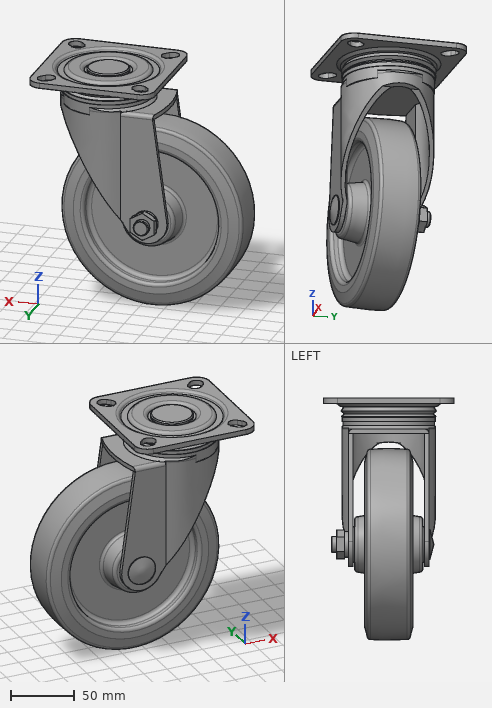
import cadquery as cq
import math


total_height = 189.3
wheel_radius = 75.0
axle_x = -40.9
axle_z = wheel_radius
axle_radius = 6.2

plate_side = 102.0
plate_thickness = 4.4
plate_corner_radius = 11.0
slot_width = 11.0
slot_length = 14.8
slot_offset = 38.5
plate_bottom = total_height - plate_thickness
groove_depth = 2.7
well_depth = 2.7
rivet_height = 2.5
rivet_radius = 16.8
rivet_chamfer = 1.0

bearing_split = 176.8
split_radius = 34.8

fork_top = 165.0
sheet = 3.6
leg_outer_y = 31.5
leg_inner_y = leg_outer_y - sheet
leg_end_radius = 17.2
fold_x = -20.0
rear_x = 38.0
fork_back_radius = 36
back_centre_x = rear_x - fork_back_radius
front_corner_x = -46.4
front_middle_x = -51.3
bend_radius = 3.5
block_front_x = axle_x - 2 * leg_end_radius
roof_underside = fork_top - sheet
skirt_bottom_x = 33.1
skirt_bottom_z = 154.0
skirt_lip_rise = 2.5
neck_radius = 35.8
neck_foot_height = 2.7
neck_band_radius = 36.3
neck_band_bottom = 171.0
neck_band_top = 174.2
lower_lip_radius = 37.0
lower_lip_z = 175.0

tread_half_width = 14.4
tread_edge_radius = 74.4
shoulder_half_width = 16.8
shoulder_radius = 72
rim_half_width = 19.1
rim_outer_radius = 63.6
rim_inner_radius = 58.0
rim_round = 2.8
web_half_width = 9.5
web_fillet = 3.5
hub_half_width = 26.7
hub_radius = 21.8
hub_foot_radius = 23.9
hub_foot_fillet = 2.3
hub_round = 2.8
spacer_radius = 14.0

head_radius = 11.7
head_rim = 0.8
head_height = 3.8
bolt_tip_y = 44.9
bolt_tip_chamfer = 0.8
collar_radius = 10.0
collar_thickness = 3.0
nut_across_corners = 22.7
nut_thickness = 6.2


def tangent_point(outside_x, outside_z, side):
    """Point on the leg end circle where a line from the outside point touches it."""
    dx = outside_x - axle_x
    dz = outside_z - axle_z
    turn = math.acos(leg_end_radius / math.hypot(dx, dz))
    angle = math.atan2(dz, dx) + side * turn
    return (axle_x + leg_end_radius * math.cos(angle), axle_z + leg_end_radius * math.sin(angle))


def axle_cylinder(radius, start_y, end_y):
    """Cylinder around the wheel axle between two Y positions."""
    plane = cq.Plane(origin=(axle_x, start_y, axle_z), xDir=(1, 0, 0), normal=(0, 1, 0))
    return cq.Workplane(plane).circle(radius).extrude(end_y - start_y)


def axle_profile():
    """Plane with local x along Y and local y along Z."""
    return cq.Workplane("YZ")


def turned_on_axle(profile):
    """Turn a profile drawn as (distance along Y, radius) around the wheel axle."""
    return profile.close().revolve(360, (0, 0, 0), (1, 0, 0)).translate((axle_x, 0, axle_z))


def turned_on_swivel(profile):
    """Turn a profile drawn as (radius, height) around the swivel axis."""
    return profile.close().revolve(360, (0, 0, 0), (0, 1, 0))


def make_top_plate():
    plate = (
        cq.Workplane("XY", origin=(0, 0, plate_bottom))
        .rect(plate_side, plate_side)
        .extrude(plate_thickness)
        .edges("|Z")
        .fillet(plate_corner_radius)
    )
    race = turned_on_swivel(
        cq.Workplane("XZ")
        .moveTo(0, bearing_split)
        .lineTo(split_radius, bearing_split)
        .lineTo(37.1, 179.0)
        .lineTo(35.2, 182.3)
        .lineTo(37.9, 182.7)
        .lineTo(40.7, plate_bottom)
        .lineTo(0, plate_bottom)
    )
    groove_floor = total_height - groove_depth
    groove = turned_on_swivel(
        cq.Workplane("XZ")
        .moveTo(43.7, total_height)
        .threePointArc((42.0, total_height - 0.5), (40.9, total_height - 1.7))
        .lineTo(40.0, groove_floor)
        .lineTo(34.8, groove_floor)
        .threePointArc((33.5, total_height - 0.8), (31.5, total_height))
    )
    well_floor = total_height - well_depth
    well = turned_on_swivel(
        cq.Workplane("XZ")
        .moveTo(22.3, total_height)
        .threePointArc((20.3, total_height - 0.8), (19, well_floor))
        .lineTo(0, well_floor)
        .lineTo(0, total_height)
    )
    rivet = (
        cq.Workplane("XY", origin=(0, 0, well_floor))
        .circle(rivet_radius)
        .extrude(rivet_height)
        .faces(">Z")
        .edges()
        .chamfer(rivet_chamfer)
    )
    plate = plate.union(race).cut(groove).cut(well).union(rivet)

    for quarter in range(4):
        slot = (
            cq.Workplane("XY", origin=(0, 0, plate_bottom))
            .center(slot_offset * math.sqrt(2), 0)
            .slot2D(slot_length, slot_width)
            .extrude(plate_thickness)
            .rotate((0, 0, 0), (0, 0, 1), 45 + 90 * quarter)
        )
        plate = plate.cut(slot)
    return plate


def u_block(inset, height):
    """Block in the fork's plan outline, moved inwards by the inset.

    Straight legs run forwards past the axle, and a smooth curve joins them around the back.
    """
    leg_y = leg_outer_y - inset
    side_y = fork_back_radius - inset
    back_x = rear_x - inset
    return (
        cq.Workplane("XY")
        .moveTo(fold_x, -leg_y)
        .spline(
            [(back_centre_x, -side_y), (back_x, 0), (back_centre_x, side_y), (fold_x, leg_y)],
            includeCurrent=True,
        )
        .lineTo(block_front_x, leg_y)
        .lineTo(block_front_x, -leg_y)
        .close()
        .extrude(height)
    )


def make_fork():
    shell = u_block(0, fork_top)
    hollow = u_block(sheet, roof_underside)

    arc_inset = bend_radius * (1 - math.sqrt(0.5))
    bend_corner = (
        cq.Workplane("YZ", origin=(block_front_x, 0, 0))
        .moveTo(leg_outer_y, fork_top)
        .lineTo(leg_outer_y, fork_top - bend_radius)
        .threePointArc(
            (leg_outer_y - arc_inset, fork_top - arc_inset), (leg_outer_y - bend_radius, fork_top)
        )
        .close()
        .extrude(fold_x - block_front_x)
    )
    bend_corners = bend_corner.union(bend_corner.mirror("XZ"))

    roof_front = (
        cq.Workplane("XY", origin=(0, 0, roof_underside))
        .moveTo(front_corner_x, -leg_outer_y)
        .threePointArc((front_middle_x, 0), (front_corner_x, leg_outer_y))
        .lineTo(block_front_x, leg_outer_y)
        .lineTo(block_front_x, -leg_outer_y)
        .close()
        .extrude(sheet)
    )

    leading_x, leading_z = tangent_point(front_corner_x, roof_underside, 1)
    trailing_x, trailing_z = tangent_point(skirt_bottom_x, skirt_bottom_z, -1)
    side = (
        cq.Workplane("XZ")
        .moveTo(front_corner_x, roof_underside)
        .lineTo(leading_x, leading_z)
        .threePointArc((axle_x, axle_z - leg_end_radius), (trailing_x, trailing_z))
        .lineTo(skirt_bottom_x, skirt_bottom_z)
        .lineTo(rear_x, skirt_bottom_z + skirt_lip_rise)
        .lineTo(rear_x, fork_top)
        .lineTo(front_middle_x, fork_top)
        .lineTo(front_middle_x, roof_underside)
        .close()
        .extrude(plate_side / 2, both=True)
    )
    fork = shell.cut(hollow).cut(bend_corners).cut(roof_front).intersect(side)

    neck = turned_on_swivel(
        cq.Workplane("XZ")
        .moveTo(0, roof_underside)
        .lineTo(neck_radius, roof_underside)
        .lineTo(neck_radius, neck_band_bottom)
        .lineTo(neck_band_radius, neck_band_bottom)
        .lineTo(neck_band_radius, neck_band_top)
        .lineTo(lower_lip_radius, lower_lip_z)
        .lineTo(split_radius, bearing_split)
        .lineTo(0, bearing_split)
    )
    foot = (
        cq.Workplane("XY", origin=(0, 0, fork_top))
        .circle(rear_x)
        .workplane(offset=neck_foot_height)
        .circle(neck_radius)
        .loft(ruled=True)
        .intersect(u_block(0, fork_top + neck_foot_height))
    )
    axle_hole = axle_cylinder(axle_radius, -leg_outer_y, leg_outer_y)
    return fork.union(neck).union(foot).cut(axle_hole)


def make_wheel():
    wall_radius = rim_inner_radius - rim_round
    bend = 1 - math.sqrt(0.5)
    half = (
        axle_profile()
        .moveTo(0, axle_radius)
        .lineTo(0, tread_edge_radius)
        .lineTo(tread_half_width, tread_edge_radius)
        .threePointArc((16.0, 73.6), (shoulder_half_width, shoulder_radius))
        .lineTo(rim_half_width, rim_outer_radius)
        .lineTo(rim_half_width, rim_inner_radius)
        .threePointArc(
            (rim_half_width - bend * rim_round, wall_radius + bend * rim_round),
            (rim_half_width - rim_round, wall_radius),
        )
        .lineTo(web_half_width + web_fillet, wall_radius)
        .threePointArc(
            (web_half_width + bend * web_fillet, wall_radius - bend * web_fillet),
            (web_half_width, wall_radius - web_fillet),
        )
        .lineTo(web_half_width, hub_foot_radius + hub_foot_fillet)
        .threePointArc(
            (web_half_width + bend * hub_foot_fillet, hub_foot_radius + bend * hub_foot_fillet),
            (web_half_width + hub_foot_fillet, hub_foot_radius),
        )
        .lineTo(hub_half_width - hub_round, hub_radius)
        .threePointArc(
            (hub_half_width - bend * hub_round, hub_radius - bend * hub_round),
            (hub_half_width, hub_radius - hub_round),
        )
        .lineTo(hub_half_width, spacer_radius)
        .lineTo(leg_inner_y, spacer_radius)
        .lineTo(leg_inner_y, axle_radius)
    )
    half_wheel = turned_on_axle(half)
    crown = turned_on_axle(
        axle_profile()
        .moveTo(-tread_half_width, tread_edge_radius)
        .threePointArc((0, wheel_radius), (tread_half_width, tread_edge_radius))
    )
    return half_wheel.union(half_wheel.mirror("XZ")).union(crown)


def make_bolt():
    head_face = -leg_outer_y
    profile = (
        axle_profile()
        .moveTo(head_face - head_height, 0)
        .lineTo(head_face - head_rim, head_radius)
        .lineTo(head_face, head_radius)
        .lineTo(head_face, axle_radius)
        .lineTo(bolt_tip_y - bolt_tip_chamfer, axle_radius)
        .lineTo(bolt_tip_y, axle_radius - bolt_tip_chamfer)
        .lineTo(bolt_tip_y, 0)
    )
    return turned_on_axle(profile)


def make_nut():
    collar_end = leg_outer_y + collar_thickness
    nut_end = collar_end + nut_thickness
    collar = axle_cylinder(collar_radius, leg_outer_y, collar_end)
    hexagon_plane = cq.Plane(origin=(axle_x, collar_end, axle_z), xDir=(0, 0, 1), normal=(0, 1, 0))
    hexagon = cq.Workplane(hexagon_plane).polygon(6, nut_across_corners).extrude(nut_thickness)
    bolt_hole = axle_cylinder(axle_radius, leg_outer_y, nut_end)
    return collar.union(hexagon).cut(bolt_hole)


top_plate = make_top_plate()
fork = make_fork()
wheel = make_wheel()
bolt = make_bolt()
nut = make_nut()

result = cq.Compound.makeCompound(
    [body.solids().val() for body in (top_plate, fork, wheel, bolt, nut)]
)